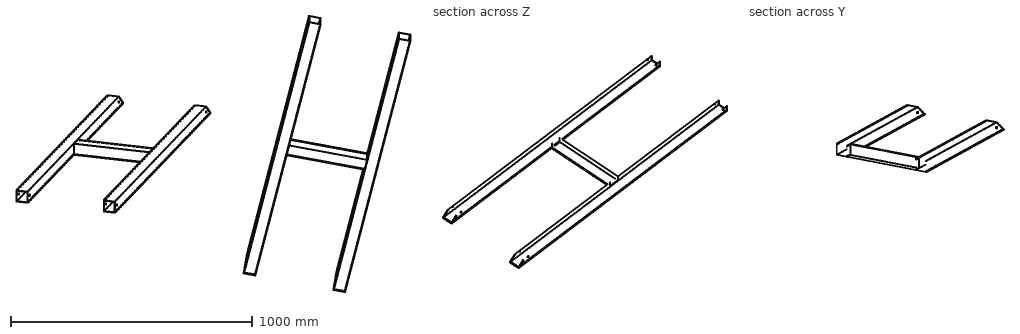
import cadquery as cq
import math

frame_width = 432.0
rail_length = 1266.0

tube_size = 50.0
tube_wall = 3.2

miter_angle = 50.0
miter_run = tube_size * math.tan(math.radians(miter_angle))

hole_diameter = 6.7
front_hole_inset = 25.0
back_hole_inset = 58.0

crossbar_center_y = 634.0

rail_offset = (frame_width - tube_size) / 2
crossbar_length = frame_width - 2 * tube_size


def square_tube(plane, length):
    """Square tube centred on the plane's origin, running along its normal."""
    bore_size = tube_size - 2 * tube_wall
    return (
        cq.Workplane(plane)
        .rect(tube_size, tube_size)
        .rect(bore_size, bore_size)
        .extrude(length)
    )


def make_rail(center_x):
    """Long tube along Y with a square front end, a mitred back end and two cross holes."""
    front_plane = cq.Plane(origin=(center_x, 0, 0), xDir=(1, 0, 0), normal=(0, 1, 0))
    tube = square_tube(front_plane, rail_length)

    outer_face_x = center_x - tube_size / 2
    side_plane = cq.Plane(origin=(outer_face_x, 0, 0), xDir=(0, 1, 0), normal=(1, 0, 0))
    waste = (
        cq.Workplane(side_plane)
        .moveTo(rail_length, -tube_size / 2)
        .lineTo(rail_length, tube_size / 2)
        .lineTo(rail_length - miter_run, tube_size / 2)
        .close()
        .extrude(tube_size)
    )
    holes = (
        cq.Workplane(side_plane)
        .pushPoints([(front_hole_inset, 0), (rail_length - back_hole_inset, 0)])
        .circle(hole_diameter / 2)
        .extrude(tube_size)
    )
    return tube.cut(waste).cut(holes)


def make_crossbar():
    """Short tube along X that butts against the inner faces of both rails."""
    left_end_plane = cq.Plane(
        origin=(-crossbar_length / 2, crossbar_center_y, 0), xDir=(0, 1, 0), normal=(1, 0, 0)
    )
    return square_tube(left_end_plane, crossbar_length)


rails = [make_rail(side * rail_offset) for side in (-1, 1)]
crossbar = make_crossbar()

result = cq.Compound.makeCompound([*(rail.val() for rail in rails), crossbar.val()])